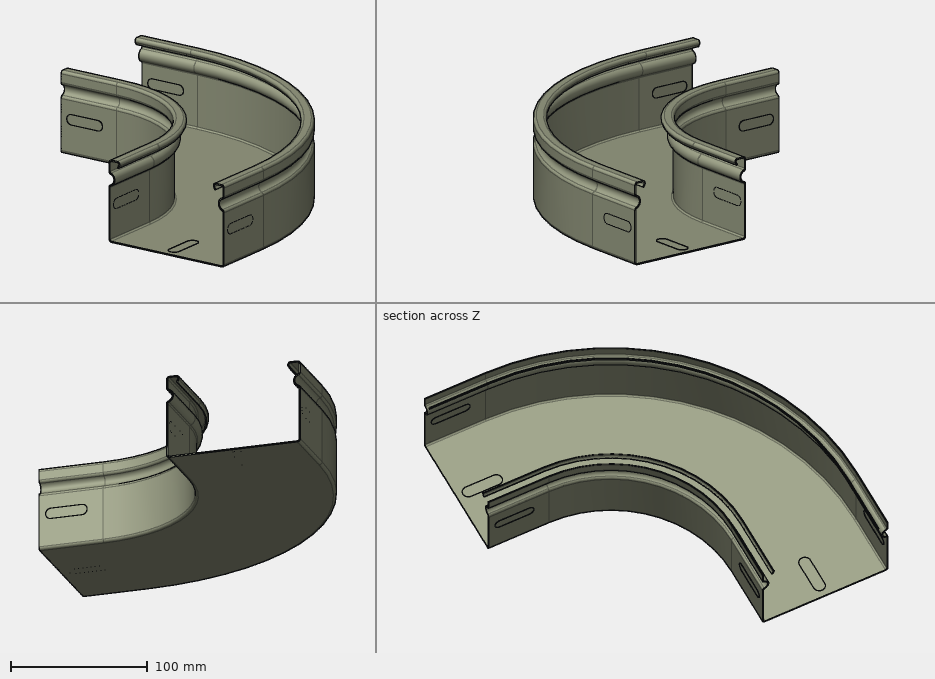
import cadquery as cq
import math


overall_size = 252.0
height = 63.5
width = 103.3
leg_length = 49.5
sheet = 1.0

bend_radius = 1.8
bead_radius = 4.8
bead_angle = 70.0
bead_height = 48.4
lip_reach = 9.8
lip_angle = 120.0
lip_end_length = 2.3

slot_depth = 0.3
slot_length = 32.0
floor_slot_width = 9.0
wall_slot_width = 8.0
slot_end_distance = 21.2
wall_slot_height = 27.5

center_radius = overall_size - leg_length - width / 2

outer_bend_radius = bend_radius + sheet / 2
bead_half_height = (bend_radius + bead_radius) * math.sin(math.radians(bead_angle))
floor_half_length = width / 2 - outer_bend_radius
lower_wall_length = bead_height - bead_half_height - outer_bend_radius
upper_wall_length = height - outer_bend_radius - bead_height - bead_half_height
lip_length = lip_reach - 2 * outer_bend_radius


def flat(length):
    """Flat stretch of sheet, as (length, turn angle)."""
    return (length, 0.0)


def bend(angle, radius=bend_radius):
    """Curved stretch of sheet; a positive angle turns left."""
    return (radius * math.radians(abs(angle)), angle)


half_channel = [
    flat(floor_half_length),
    bend(90),
    flat(lower_wall_length),
    bend(bead_angle),
    bend(-2 * bead_angle, bead_radius),
    bend(bead_angle),
    flat(upper_wall_length),
    bend(90),
    flat(lip_length),
    bend(lip_angle),
    flat(lip_end_length),
]


def advance(station, length, angle):
    """Move a station (x, z, heading) along one flat or curved stretch."""
    x, z, heading = station
    half_turn = math.radians(angle) / 2
    chord = length if angle == 0 else length * math.sin(half_turn) / half_turn
    direction = heading + half_turn
    return (
        x + chord * math.cos(direction),
        z + chord * math.sin(direction),
        heading + 2 * half_turn,
    )


def offset_point(station, distance):
    """Point at a distance to the left of the middle line."""
    x, z, heading = station
    return (x - distance * math.sin(heading), z + distance * math.cos(heading))


def add_stretch(outline, middle, end, angle, distance):
    """Extend the outline by a line or arc offset from the middle line."""
    end_point = offset_point(end, distance)
    if angle == 0:
        return outline.lineTo(*end_point)
    return outline.threePointArc(offset_point(middle, distance), end_point)


def channel_profile():
    """Closed cross-section of the channel in the XZ plane."""
    tip = (center_radius, sheet / 2, 0.0)
    for length, angle in half_channel:
        tip = advance(tip, length, angle)

    tip_x, tip_z, tip_heading = tip
    station = (2 * center_radius - tip_x, tip_z, -tip_heading)
    stretches = []
    for length, angle in half_channel[::-1] + half_channel:
        middle = advance(station, length / 2, angle / 2)
        end = advance(station, length, angle)
        stretches.append((station, middle, end, angle))
        station = end

    half_sheet = sheet / 2
    first_station = stretches[0][0]
    outline = cq.Workplane("XZ").moveTo(*offset_point(first_station, -half_sheet))
    for _, middle, end, angle in stretches:
        outline = add_stretch(outline, middle, end, angle, -half_sheet)
    outline = outline.lineTo(*offset_point(station, half_sheet))
    for start, middle, _, angle in reversed(stretches):
        outline = add_stretch(outline, middle, start, angle, half_sheet)
    return outline.close()


def leg_recesses():
    """Cutters for the shallow slots in the floor and both walls of the leg along -Y."""
    slot_y = slot_end_distance - leg_length
    floor_cutter = (
        cq.Workplane("XY", origin=(center_radius, slot_y, sheet - slot_depth))
        .slot2D(slot_length, floor_slot_width, 90)
        .extrude(sheet)
    )
    cutters = [floor_cutter]

    inner_face = center_radius - width / 2
    outer_face = center_radius + width / 2 - sheet
    for face_x in (inner_face, outer_face):
        wall_cutter = (
            cq.Workplane("YZ", origin=(face_x + slot_depth, slot_y, wall_slot_height))
            .slot2D(slot_length, wall_slot_width)
            .extrude(-sheet)
        )
        cutters.append(wall_cutter)
    return cutters


def turned_leg(leg):
    """The same leg at the other end of the bend, along -X."""
    return leg.mirror("XZ").rotate((0, 0, 0), (0, 0, 1), 90)


curve = channel_profile().revolve(90, (0, 0), (0, 1))

leg = channel_profile().extrude(leg_length)
for recess in leg_recesses():
    leg = leg.cut(recess)

result = curve.union(leg).union(turned_leg(leg))